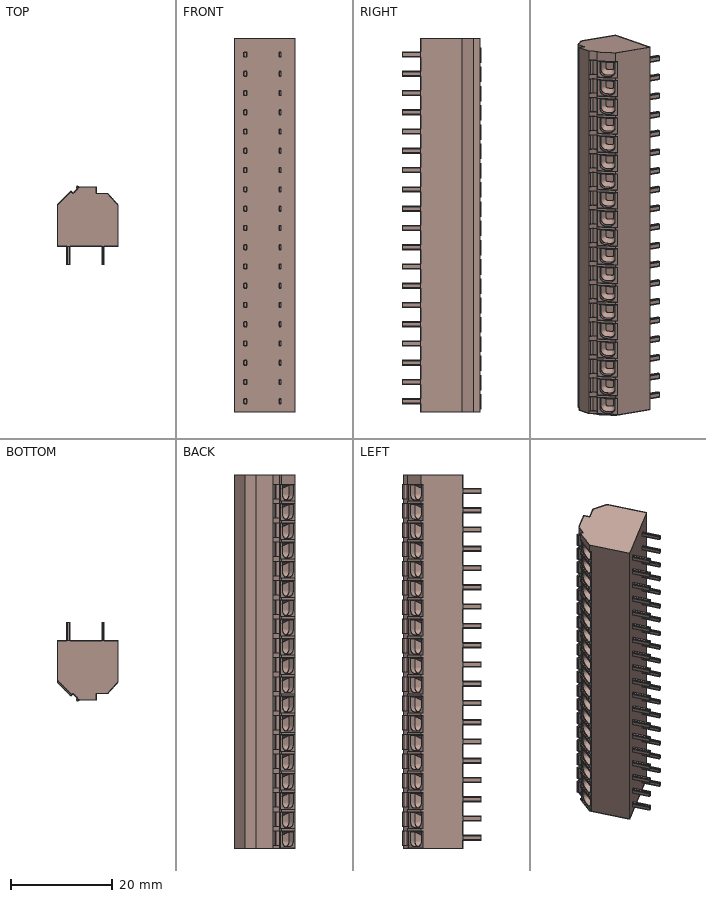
import cadquery as cq
import math

LENGTH = 73.9
WIDTH = 12.0
DEPTH = 11.75

POLE_COUNT = 19
FIRST_PIN_Z = 70.7
LAST_PIN_Z = 2.15
POLE_PITCH = (FIRST_PIN_Z - LAST_PIN_Z) / (POLE_COUNT - 1)
FIRST_POCKET_TOP = 72.05
POCKET_HEIGHT = 3.3

COS_45 = math.cos(math.radians(45))
SLOPE_START_Y = 8.3
SLOPE_LENGTH = 3.8
SLOPE_STEP = 0.6
RIDGE_X = SLOPE_LENGTH * COS_45
RIDGE_Y = SLOPE_START_Y + RIDGE_X
STEP_X = RIDGE_X + SLOPE_STEP * COS_45
STEP_Y = RIDGE_Y - SLOPE_STEP * COS_45
CREST_X = STEP_X + DEPTH - STEP_Y

SHOULDER_X = 7.7
SHOULDER_Y = 10.5
CHAMFER_X = 9.9
CHAMFER_Y = 8.2

POCKET_DEPTH = 0.3

ENTRY_WIDTH = 3.0
ENTRY_HEIGHT = 2.95
ENTRY_RADIUS = 1.1
ENTRY_CENTRE = 1.7
ENTRY_DROP = 0.15
ENTRY_DEPTH = 1.5
FUNNEL_DEPTH = 1.5
FUNNEL_TAPER = 27

LIP_HEIGHT = 2.9
LIP_TOP_Y = 12.0
LIP_CORNER = (3.8, 11.7)
LIP_ROOT = (3.9, 11.0)
LIP_TIP_X = 3.9

PIN_LENGTH = 3.6
PIN_EMBED = 0.75
PIN_HEIGHT = 1.0
PIN_CHAMFER = 0.15
PIN_TIP_CHAMFER = 0.1
PIN_ROWS = ((2.15, 0.7), (9.0, 0.45))


def extruded_outline(points, bottom, height):
    """Prism along Z from an outline in the XY plane."""
    return cq.Workplane("XY").workplane(offset=bottom).polyline(points).close().extrude(height)


def make_housing():
    outline = [
        (0, 0),
        (WIDTH, 0),
        (WIDTH, CHAMFER_Y),
        (CHAMFER_X, SHOULDER_Y),
        (SHOULDER_X, SHOULDER_Y),
        (SHOULDER_X, DEPTH),
        (CREST_X, DEPTH),
        (STEP_X, STEP_Y),
        (RIDGE_X, RIDGE_Y),
        (0, SLOPE_START_Y),
    ]
    return extruded_outline(outline, 0, LENGTH)


def slope_plane(depth, z):
    """Plane at a depth below the lower slope: local x runs up the slope, local y along Z."""
    inward = depth * COS_45
    return cq.Plane(
        origin=(inward, SLOPE_START_Y - inward, z),
        xDir=(1, 1, 0),
        normal=(1, -1, 0),
    )


def make_pocket(top):
    """Shallow cut over the whole lower slope, overrunning it at both ends."""
    return (
        cq.Workplane(slope_plane(0, top - POCKET_HEIGHT / 2))
        .center(SLOPE_LENGTH / 2, 0)
        .rect(2 * SLOPE_LENGTH, POCKET_HEIGHT)
        .extrude(POCKET_DEPTH)
    )


def make_entry(top):
    """Straight hole square to the slope that ends in a tapered funnel."""
    entry_centre_z = top - ENTRY_DROP - ENTRY_HEIGHT / 2

    def opening(depth):
        plane = cq.Workplane(slope_plane(depth, entry_centre_z)).center(ENTRY_CENTRE, 0)
        return (
            plane.sketch()
            .rect(ENTRY_WIDTH, ENTRY_HEIGHT)
            .vertices("<Y")
            .fillet(ENTRY_RADIUS)
            .finalize()
        )

    straight = opening(0).extrude(ENTRY_DEPTH)
    funnel = opening(ENTRY_DEPTH).extrude(FUNNEL_DEPTH, taper=FUNNEL_TAPER)
    return straight.union(funnel)


def make_lip_relief(top):
    """Hollow in the upper slope under the lever lip."""
    outline = [(STEP_X, STEP_Y), LIP_ROOT, LIP_CORNER]
    return extruded_outline(outline, top - LIP_HEIGHT, LIP_HEIGHT)


def make_lip(top):
    outline = [LIP_ROOT, LIP_CORNER, (LIP_TIP_X, LIP_TOP_Y), (CREST_X, DEPTH)]
    return extruded_outline(outline, top - LIP_HEIGHT, LIP_HEIGHT)


def make_pin(x, width, z):
    return (
        cq.Workplane("XY")
        .box(width, PIN_LENGTH + PIN_EMBED, PIN_HEIGHT)
        .edges("|Y")
        .chamfer(PIN_CHAMFER)
        .faces("<Y")
        .chamfer(PIN_TIP_CHAMFER)
        .translate((x, (PIN_EMBED - PIN_LENGTH) / 2, z))
    )


cutters = []
additions = []
for pole in range(POLE_COUNT):
    drop = pole * POLE_PITCH
    pocket_top = FIRST_POCKET_TOP - drop
    for cutter in (make_pocket(pocket_top), make_entry(pocket_top), make_lip_relief(pocket_top)):
        cutters.append(cutter.val())
    additions.append(make_lip(pocket_top).val())
    for pin_x, pin_width in PIN_ROWS:
        additions.append(make_pin(pin_x, pin_width, FIRST_PIN_Z - drop).val())

housing = make_housing().val().cut(*cutters)
result = cq.Workplane(housing.fuse(*additions))